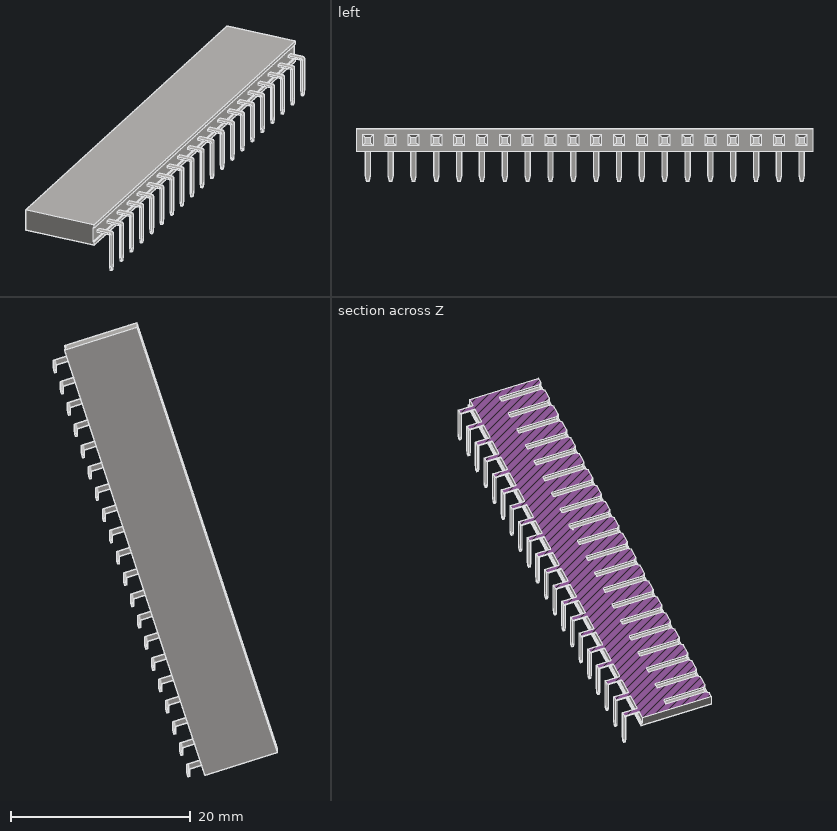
import cadquery as cq

length = 50.8
height = 5.85
depth = 10.1

contact_count = 20
pitch = length / contact_count
housing_depth = 8.5
housing_height = pitch
rear_recess_depth = 0.15
rear_recess_height = 1.75

mouth_size = 1.2
throat_size = 0.6
funnel_depth = 0.3
socket_depth = 6.1

pin_width = 0.6
pin_thickness = 0.2
pin_socket_overlap = 1.0
bend_outer_radius = 0.25
pin_tip_width = 0.3
pin_tip_length = 0.6

housing_center_z = height - housing_height / 2
contact_ys = [pitch * (index - (contact_count - 1) / 2) for index in range(contact_count)]


def make_housing():
    """Long block with a shallow recess along its whole +X face."""
    body = cq.Workplane("XY").box(housing_depth, length, housing_height, centered=(False, True, False))
    body = body.translate((0, 0, height - housing_height))
    recess = cq.Workplane("XY").box(rear_recess_depth, length, rear_recess_height, centered=(False, True, True))
    return body.cut(recess.translate((housing_depth - rear_recess_depth, 0, housing_center_z)))


def make_socket():
    """Square hole along +X with a funnel mouth, centred on the X axis."""
    funnel = (
        cq.Workplane("YZ")
        .rect(mouth_size, mouth_size)
        .workplane(offset=funnel_depth)
        .rect(throat_size, throat_size)
        .loft(ruled=True)
    )
    hole = cq.Workplane("YZ").rect(throat_size, throat_size).extrude(socket_depth)
    return funnel.union(hole)


def make_pin():
    """Flat strip from inside the socket along +X, bent down to a tapered tip at Z = 0."""
    start_x = socket_depth - pin_socket_overlap
    inner_x = depth - pin_thickness
    top_z = housing_center_z + pin_thickness / 2
    bottom_z = top_z - pin_thickness
    strip = (
        cq.Workplane("XZ")
        .moveTo(start_x, top_z)
        .lineTo(depth, top_z)
        .lineTo(depth, 0)
        .lineTo(inner_x, 0)
        .lineTo(inner_x, bottom_z)
        .lineTo(start_x, bottom_z)
        .close()
        .extrude(pin_width / 2, both=True)
    )
    strip = strip.edges("|Y and >X and >Z").fillet(bend_outer_radius)
    inner_corner = cq.selectors.NearestToPointSelector((inner_x, 0, bottom_z))
    strip = strip.edges("|Y").edges(inner_corner).fillet(bend_outer_radius - pin_thickness)
    outline = (
        cq.Workplane("YZ")
        .moveTo(-pin_tip_width / 2, 0)
        .lineTo(pin_tip_width / 2, 0)
        .lineTo(pin_width / 2, pin_tip_length)
        .lineTo(pin_width / 2, height)
        .lineTo(-pin_width / 2, height)
        .lineTo(-pin_width / 2, pin_tip_length)
        .close()
        .extrude(depth)
    )
    return strip.intersect(outline)


socket = make_socket()
pin = make_pin()
result = make_housing()
for contact_y in contact_ys:
    result = result.cut(socket.translate((0, contact_y, housing_center_z)))
    result = result.union(pin.translate((0, contact_y, 0)))